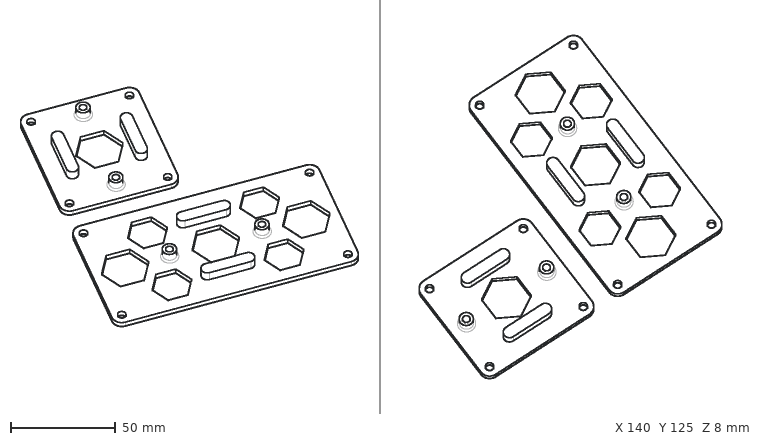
import cadquery as cq

overall_width = 140.0
plate_width = 65.0
small_plate_length = 60.0
large_plate_length = 125.0
plate_thickness = 3.0
corner_radius = 5.0
total_height = 8.0
raised_height = total_height - plate_thickness

screw_hole_diameter = 4.0
screw_hole_inset = 5.0

boss_diameter = 6.9
boss_bore = 3.6
boss_root_fillet = 1.0
boss_spacing = 47.0

bar_length = 27.0
bar_width = 6.0
bar_spacing = 35.0

large_hex_diameter = 24.0
small_hex_diameter = 20.0
large_hex_pitch = 46.0
small_hex_spacing_x = bar_spacing
small_hex_spacing_y = 57.0


def pair(spacing, along_y):
    """Two points placed symmetrically about the plate centre."""
    half = spacing / 2
    if along_y:
        return [(0, -half), (0, half)]
    return [(-half, 0), (half, 0)]


def plate_blank(length):
    """Rounded rectangular plate centred on the origin, resting on Z = 0."""
    blank = cq.Workplane("XY").box(plate_width, length, plate_thickness, centered=(True, True, False))
    return blank.edges("|Z").fillet(corner_radius)


def screw_hole_cutter(length):
    """Through holes near the four plate corners."""
    return (
        cq.Workplane("XY")
        .rarray(plate_width - 2 * screw_hole_inset, length - 2 * screw_hole_inset, 2, 2)
        .circle(screw_hole_diameter / 2)
        .extrude(plate_thickness)
    )


def hex_cutter(points, diameter):
    """Hexagonal through windows at the given points."""
    cutter = cq.Workplane("XY")
    for x, y in points:
        window = (
            cq.Workplane("XY")
            .polygon(6, diameter)
            .extrude(plate_thickness)
            .rotate((0, 0, 0), (0, 0, 1), 90)
            .translate((x, y, 0))
        )
        cutter = cutter.add(window)
    return cutter.combine()


def boss():
    """Boss flaring into the plate through a concave root fillet."""
    radius = boss_diameter / 2
    root_center_x = radius + boss_root_fillet
    root_top = plate_thickness + boss_root_fillet
    return (
        cq.Workplane("XZ")
        .moveTo(0, plate_thickness)
        .lineTo(root_center_x, plate_thickness)
        .radiusArc((radius, root_top), boss_root_fillet)
        .lineTo(radius, total_height)
        .lineTo(0, total_height)
        .close()
        .revolve(360, (0, 0, 0), (0, 1, 0))
    )


def add_bosses(plate, points):
    """Join a boss to the plate at each point and bore it through."""
    for x, y in points:
        plate = plate.union(boss().translate((x, y, 0)))
    bores = cq.Workplane("XY").pushPoints(points).circle(boss_bore / 2).extrude(total_height)
    return plate.cut(bores)


def bars(points, angle):
    """Round-ended raised bars, turned by the given angle from the X axis."""
    return (
        cq.Workplane("XY", origin=(0, 0, plate_thickness))
        .pushPoints(points)
        .slot2D(bar_length, bar_width, angle)
        .extrude(raised_height)
    )


def build_small_plate():
    """Single-window plate: bars along X, bosses left and right."""
    plate = plate_blank(small_plate_length).cut(screw_hole_cutter(small_plate_length))
    plate = plate.cut(hex_cutter([(0, 0)], large_hex_diameter))
    plate = plate.union(bars(pair(bar_spacing, along_y=True), 0))
    return add_bosses(plate, pair(boss_spacing, along_y=False))


def build_large_plate():
    """Seven-window plate: bars along Y, bosses in front of and behind the centre."""
    large_points = [(0, step * large_hex_pitch) for step in (-1, 0, 1)]
    half_x = small_hex_spacing_x / 2
    half_y = small_hex_spacing_y / 2
    small_points = [(x, y) for x in (-half_x, half_x) for y in (-half_y, half_y)]
    plate = plate_blank(large_plate_length).cut(screw_hole_cutter(large_plate_length))
    plate = plate.cut(hex_cutter(large_points, large_hex_diameter))
    plate = plate.cut(hex_cutter(small_points, small_hex_diameter))
    plate = plate.union(bars(pair(bar_spacing, along_y=False), 90))
    return add_bosses(plate, pair(boss_spacing, along_y=True))


plate_center_x = (overall_width - plate_width) / 2
small_plate = build_small_plate().translate((-plate_center_x, small_plate_length / 2, 0))
large_plate = build_large_plate().translate((plate_center_x, large_plate_length / 2, 0))

result = cq.Compound.makeCompound([small_plate.val(), large_plate.val()])